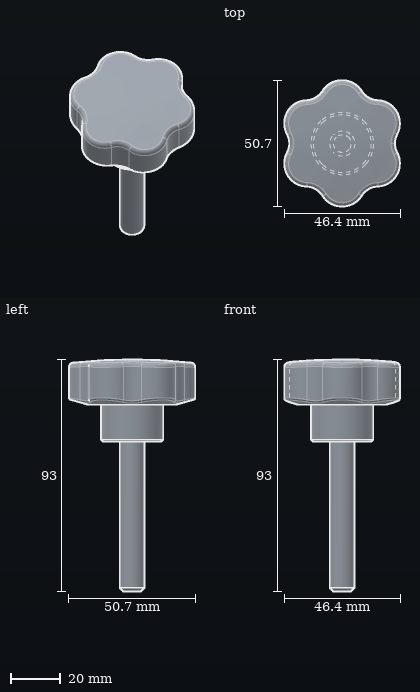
import cadquery as cq
import math

total_height = 93.0
hub_bottom = 59.9
head_bottom = 74.7

stud_diameter = 10.0
stud_chamfer = 1.5
hub_diameter = 25.0
hub_chamfer = 0.9

lobe_count = 6
head_diameter = 50.7
lobe_center_distance = 16.0
valley_depth_radius = 21.2
first_lobe_angle = 30.0

crown_radius = 213.8
flat_diameter = 35.5
underside_angle = 16.0
top_fillet = 1.9
bottom_fillet = 0.9
rim_clearance = 0.2
envelope_margin = 0.9

head_radius = head_diameter / 2
lobe_radius = head_radius - lobe_center_distance
half_pitch = 180.0 / lobe_count


def polar(radius, degrees):
    angle = math.radians(degrees)
    return (radius * math.cos(angle), radius * math.sin(angle))


def star_outline():
    """Closed outline of lobes and valleys on the head's bottom plane."""
    lobe_x, lobe_y = polar(lobe_center_distance, half_pitch)
    gap = valley_depth_radius - lobe_x
    valley_radius = (gap**2 + lobe_y**2 - lobe_radius**2) / (2 * (lobe_radius - gap))
    valley_center = valley_depth_radius + valley_radius
    share = valley_radius / (valley_radius + lobe_radius)
    joint_x = valley_center + share * (lobe_x - valley_center)
    joint_y = share * lobe_y
    joint_distance = math.hypot(joint_x, joint_y)
    joint_angle = half_pitch - math.degrees(math.atan2(joint_y, joint_x))

    start = polar(joint_distance, first_lobe_angle - joint_angle)
    outline = cq.Workplane("XY").workplane(offset=head_bottom).moveTo(*start)
    for index in range(lobe_count):
        lobe_angle = first_lobe_angle + index * 2 * half_pitch
        valley_angle = lobe_angle + half_pitch
        lobe_end = polar(joint_distance, lobe_angle + joint_angle)
        valley_end = polar(joint_distance, lobe_angle + 2 * half_pitch - joint_angle)
        outline = outline.threePointArc(polar(head_radius, lobe_angle), lobe_end)
        outline = outline.threePointArc(polar(valley_depth_radius, valley_angle), valley_end)
    return outline.close()


def head_envelope():
    """Revolved body with a crowned top and a conical underside around a flat."""
    outer = head_radius + envelope_margin
    flat_radius = flat_diameter / 2
    cone_rise = (outer - flat_radius) * math.tan(math.radians(underside_angle))

    def crown_height(radius):
        return total_height - crown_radius + math.sqrt(crown_radius**2 - radius**2)

    return (
        cq.Workplane("XZ")
        .moveTo(0, head_bottom)
        .lineTo(flat_radius, head_bottom)
        .lineTo(outer, head_bottom + cone_rise)
        .lineTo(outer, crown_height(outer))
        .threePointArc((outer / 2, crown_height(outer / 2)), (0, total_height))
        .close()
        .revolve(360, (0, 0, 0), (0, 1, 0))
    )


def rim_selector(low, high):
    """Selects edges whose centers lie between two heights."""
    return cq.selectors.BoxSelector((-head_radius, -head_radius, low), (head_radius, head_radius, high))


def make_head():
    head = star_outline().extrude(total_height - head_bottom).intersect(head_envelope())
    middle = (head_bottom + total_height) / 2
    upper_rim = rim_selector(middle, total_height)
    head = head.edges(upper_rim).edges("not |Z").fillet(top_fillet)
    lower_rim = rim_selector(head_bottom + rim_clearance, middle)
    return head.edges(lower_rim).edges("not |Z").fillet(bottom_fillet)


def make_hub():
    height = head_bottom - hub_bottom
    hub = cq.Workplane("XY").workplane(offset=hub_bottom).circle(hub_diameter / 2).extrude(height)
    return hub.faces("<Z").chamfer(hub_chamfer)


def make_stud():
    stud = cq.Workplane("XY").circle(stud_diameter / 2).extrude(hub_bottom)
    return stud.faces("<Z").chamfer(stud_chamfer)


result = make_head().union(make_hub()).union(make_stud())